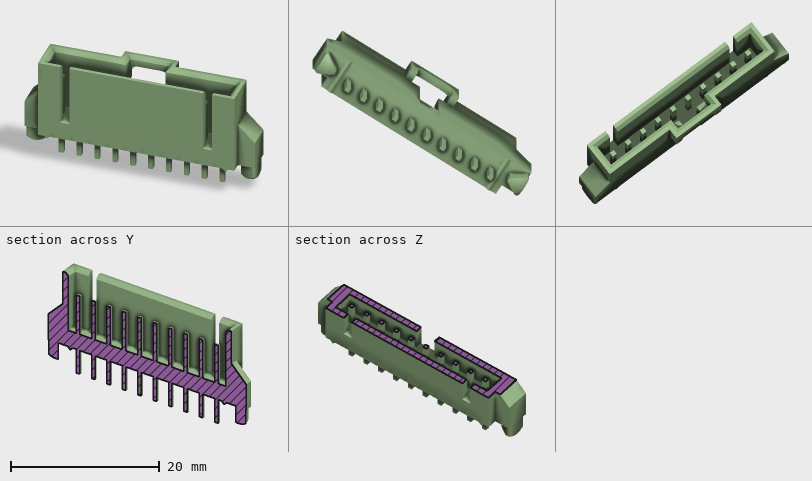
import cadquery as cq

overall_length = 32.72
housing_length = 27.9
housing_depth = 5.1
housing_height = 11.45
wall = 1.0
back_wall = 1.05
rim_bevel = 0.5
cavity_floor = 2.6

key_length = 7.62
key_projection = 1.5
key_height = 3.73
key_gap_length = 3.05
key_window_height = 2.3
key_window_radius = 1.2
back_relief = 0.1

slot_width = 1.3
slot_center = 10.15

ear_depth = 3.63
ear_height = 6.38
peg_outer_x = 16.3
peg_length = 2.42
peg_base = 3.55
peg_tip = 0.6
peg_corner_radius = 0.33
peg_drop = 2.68
peg_dome_radius = 2.22

ridge_center = 12.7
ridge_height = 0.4
ridge_half_width = 0.43

pin_count = 10
pin_pitch = 2.54
pin_size = 0.65
pin_bottom = -3.65
pin_top = 8.5

ear_length = (overall_length - housing_length) / 2
cavity_length = housing_length - 2 * wall
key_inner_length = key_length - 2 * wall
key_bottom = housing_height - key_height
middle_y = housing_depth / 2


def block(x_size, y_min, y_max, z_min, z_max, x_center=0.0):
    """Box centered on x_center in X, with explicit Y and Z limits."""
    box = cq.Workplane("XY").box(x_size, y_max - y_min, z_max - z_min, centered=(True, False, False))
    return box.translate((x_center, y_min, z_min))


def flared_mouth(x_size, y_min, y_max, z_top):
    """Bevel cutter for an opening, growing by rim_bevel on every side up to z_top."""
    return (
        cq.Workplane("XY")
        .workplane(offset=z_top - rim_bevel)
        .center(0, (y_min + y_max) / 2)
        .rect(x_size, y_max - y_min)
        .workplane(offset=rim_bevel)
        .rect(x_size + 2 * rim_bevel, y_max - y_min + 2 * rim_bevel)
        .loft(ruled=True)
    )


def housing():
    """Open-topped box with a keying box on its back and slots in its front wall."""
    cavity_back = housing_depth - back_wall
    key_back = housing_depth + key_projection
    body = block(housing_length, 0, housing_depth, 0, housing_height)
    body = body.union(block(key_length, cavity_back, key_back, key_bottom, housing_height))

    body = body.cut(block(cavity_length, wall, cavity_back, cavity_floor, housing_height))
    body = body.cut(flared_mouth(cavity_length, wall, cavity_back, housing_height))
    body = body.cut(block(key_inner_length, middle_y, key_back - wall, key_bottom, housing_height))
    body = body.cut(flared_mouth(key_inner_length, middle_y, key_back - wall, housing_height))

    window = block(key_inner_length, key_back - wall, key_back, key_bottom, key_bottom + key_window_height)
    window = window.edges("|Y and >Z").fillet(key_window_radius)
    body = body.cut(window)

    body = body.cut(block(key_gap_length, middle_y, housing_depth, cavity_floor, housing_height))

    relief_front = housing_depth - back_relief
    body = body.cut(block(key_gap_length, relief_front, housing_depth, 0, cavity_floor))

    sill_bevel = (
        cq.Workplane("YZ")
        .polyline([
            (cavity_back, key_bottom - rim_bevel),
            (cavity_back + rim_bevel, key_bottom),
            (cavity_back, key_bottom),
        ])
        .close()
        .extrude(key_inner_length / 2, both=True)
    )
    body = body.cut(sill_bevel)

    for side in (-1, 1):
        body = body.cut(block(slot_width, 0, wall, cavity_floor, housing_height, side * slot_center))
    return body


def ear():
    """Right-hand ear: a block on the housing end with a sloping top."""
    inner_x = housing_length / 2
    outer_x = overall_length / 2
    return (
        cq.Workplane("XZ", origin=(0, housing_depth, 0))
        .polyline([
            (inner_x, 0),
            (outer_x, 0),
            (outer_x, ear_height - ear_length),
            (inner_x, ear_height),
        ])
        .close()
        .extrude(ear_depth)
    )


def peg():
    """Right-hand peg: a wedge-shaped post with rounded outer corners and a domed lower end."""
    center_x = peg_outer_x - peg_length / 2
    center_y = housing_depth - ear_depth / 2
    dome_z = peg_dome_radius - peg_drop
    post = (
        cq.Workplane("XY", origin=(peg_outer_x, center_y, 0))
        .polyline([
            (0, -peg_base / 2),
            (0, peg_base / 2),
            (-peg_length, peg_tip / 2),
            (-peg_length, -peg_tip / 2),
        ])
        .close()
        .extrude(-peg_drop)
        .edges("|Z and >X")
        .fillet(peg_corner_radius)
    )
    dome = cq.Workplane("XY").sphere(peg_dome_radius)
    dome = dome.translate((center_x, center_y, dome_z))
    shank = cq.Workplane("XY", origin=(center_x, center_y, dome_z))
    shank = shank.circle(peg_dome_radius).extrude(peg_drop)
    return post.intersect(dome.union(shank))


def ridge():
    """Right-hand standoff ridge, running the full depth of the underside."""
    return (
        cq.Workplane("XZ", origin=(ridge_center, housing_depth, 0))
        .polyline([(-ridge_half_width, 0), (0, -ridge_height), (ridge_half_width, 0)])
        .close()
        .extrude(housing_depth)
    )


result = housing()

for feature in (ear(), peg(), ridge()):
    result = result.union(feature).union(feature.mirror("YZ"))

pin_front = middle_y - pin_size / 2
pin_back = middle_y + pin_size / 2
for index in range(pin_count):
    pin_x = (index - (pin_count - 1) / 2) * pin_pitch
    result = result.union(block(pin_size, pin_front, pin_back, pin_bottom, pin_top, pin_x))